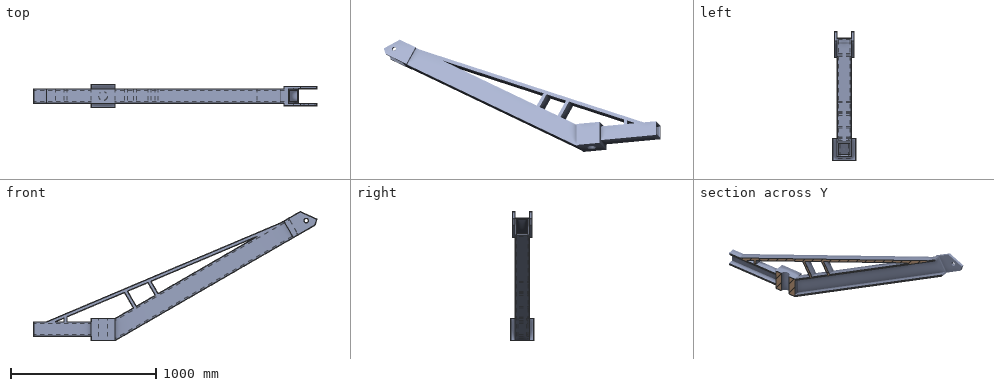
import cadquery as cq
import math

tube_width = 100.0
wall = 12.0
tube_bottom = 30.0
tube_top = tube_bottom + tube_width

collar_start = 397.0
collar_end = 563.0
collar_width = 160.0
collar_height = 152.0
collar_hole_diameter = 60.0

beam_angle = 30
beam_cos = math.cos(math.radians(beam_angle))
beam_sin = math.sin(math.radians(beam_angle))
beam_depth = collar_height * beam_cos
beam_length = 1457.0

plate_thickness = 18.0
plate_start = 1418.0
plate_peak_z = 889.0
plate_tip = (1954, 836.0)
plate_toe_x = 1940.0
clevis_hole_diameter = 30.0
clevis_hole_x = 1880.0
clevis_hole_z = 826.0

chord_start_x = 90.0
chord_end_x = 1704.0
chord_thickness = 23.0
strut_thickness = 23.0
post_x = 210.0
beam_strut_offsets = (145.0, 318.0)


def extrude_profile(points, width, center_y=0):
    """Extrude an XZ outline symmetrically about the given Y position."""
    plane = cq.Workplane("XZ", origin=(0, center_y, 0))
    return plane.polyline(points).close().extrude(width / 2, both=True)


def beam_point(along, across):
    """XZ point along the beam's lower edge and square to it."""
    x = collar_end + along * beam_cos - across * beam_sin
    z = along * beam_sin + across * beam_cos
    return x, z


def beam_lower_z(x):
    return (x - collar_end) * beam_sin / beam_cos


def beam_upper_z(x):
    return collar_height + beam_lower_z(x)


chord_slope = (beam_upper_z(chord_end_x) - tube_top) / (chord_end_x - chord_start_x)
chord_drop = chord_thickness * math.hypot(1, chord_slope)


def chord_middle_z(x):
    return tube_top + (x - chord_start_x) * chord_slope - chord_drop / 2


def make_base_tube():
    outer = cq.Workplane("XY").box(collar_start, tube_width, tube_width, centered=(False, True, False))
    bore_size = tube_width - 2 * wall
    bore = cq.Workplane("XY").box(collar_start, bore_size, bore_size, centered=(False, True, False))
    return outer.cut(bore.translate((0, 0, wall))).translate((0, 0, tube_bottom))


def make_collar():
    length = collar_end - collar_start
    block = cq.Workplane("XY").box(length, collar_width, collar_height, centered=(True, True, False))
    block = block.faces(">Z").workplane().hole(collar_hole_diameter)
    return block.translate(((collar_start + collar_end) / 2, 0, 0))


def make_beam():
    outer = extrude_profile(
        [
            (collar_end, 0),
            beam_point(beam_length, 0),
            beam_point(beam_length, beam_depth),
            (collar_end, collar_height),
        ],
        tube_width,
    )
    vertical_wall = wall / beam_cos
    bore = extrude_profile(
        [
            (collar_end, vertical_wall),
            beam_point(beam_length, wall),
            beam_point(beam_length, beam_depth - wall),
            (collar_end, collar_height - vertical_wall),
        ],
        tube_width - 2 * wall,
    )
    return outer.cut(bore)


def make_clevis_plate(side):
    peak_x = collar_end + (plate_peak_z - collar_height) * beam_cos / beam_sin
    center_y = side * (tube_width + plate_thickness) / 2
    plate = extrude_profile(
        [
            beam_point(plate_start, 0),
            (plate_toe_x, beam_lower_z(plate_toe_x)),
            plate_tip,
            (peak_x, plate_peak_z),
            beam_point(plate_start, beam_depth),
        ],
        plate_thickness,
        center_y,
    )
    hole_plane = cq.Workplane("XZ", origin=(clevis_hole_x, center_y, clevis_hole_z))
    hole = hole_plane.circle(clevis_hole_diameter / 2).extrude(plate_thickness, both=True)
    return plate.cut(hole)


def make_chord():
    lower_start_x = chord_start_x + chord_drop / chord_slope
    slope_difference = beam_sin / beam_cos - chord_slope
    lower_end_x = chord_end_x - chord_drop / slope_difference
    return extrude_profile(
        [
            (chord_start_x, tube_top),
            (lower_start_x, tube_top),
            (lower_end_x, beam_upper_z(lower_end_x)),
            (chord_end_x, beam_upper_z(chord_end_x)),
        ],
        tube_width,
    )


def make_post():
    """Vertical strut from the base tube into the chord."""
    end_x = post_x + strut_thickness
    return extrude_profile(
        [
            (post_x, tube_top),
            (end_x, tube_top),
            (end_x, chord_middle_z(end_x)),
            (post_x, chord_middle_z(post_x)),
        ],
        tube_width,
    )


def make_beam_strut(offset):
    """Strut square to the beam, ending inside the chord."""
    def foot_and_head(along):
        foot_x = collar_end + along * beam_cos
        foot_z = beam_upper_z(foot_x)
        gap = chord_middle_z(foot_x) - foot_z
        height = gap / (beam_cos + beam_sin * chord_slope)
        head = (foot_x - height * beam_sin, foot_z + height * beam_cos)
        return (foot_x, foot_z), head

    near_foot, near_head = foot_and_head(offset)
    far_foot, far_head = foot_and_head(offset + strut_thickness)
    return extrude_profile([near_foot, far_foot, far_head, near_head], tube_width)


result = make_base_tube().union(make_collar()).union(make_beam())
result = result.union(make_chord()).union(make_post())
for strut_offset in beam_strut_offsets:
    result = result.union(make_beam_strut(strut_offset))
for plate_side in (-1, 1):
    result = result.union(make_clevis_plate(plate_side))